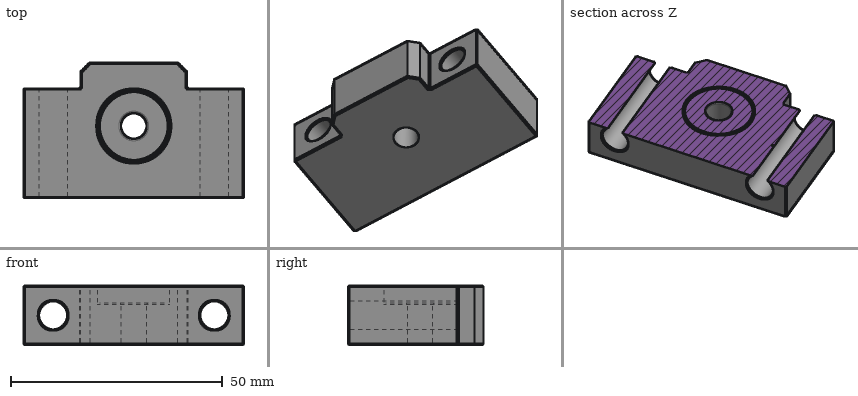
import cadquery as cq

width = 52.0
height = 14.0
total_depth = 32.0
tab_length = 6.1
tab_width = 25.0
tab_corner = 2.15
inner_corner = 0.3
edge_chamfer = 0.3
body_depth = total_depth - tab_length

bore_center_y = 17.0
bore_diameter = 17.0
bore_rim_chamfer = 0.35
seat_diameter = 16.0
seat_depth = 4.1
seat_height = 0.3
bore_depth = seat_depth + seat_height
pin_diameter = 6.0
pin_rim_radius = 0.5

mount_spacing = 38.0
mount_diameter = 6.65
mount_rim_chamfer = 0.3


def drill(start, direction, diameter, depth, rim_chamfer):
    """Cutter for a hole whose mouth at start is widened by a 45 degree chamfer."""
    radius = diameter / 2
    start = cq.Vector(*start)
    direction = cq.Vector(*direction)
    hole = cq.Solid.makeCylinder(radius, depth, start, direction)
    rim = cq.Solid.makeCone(radius + rim_chamfer, radius, rim_chamfer, start, direction)
    return hole.fuse(rim)


def make_block():
    half_width = width / 2
    half_tab = tab_width / 2
    right_side = [
        (half_width, 0),
        (half_width, body_depth),
        (half_tab + inner_corner, body_depth),
        (half_tab, body_depth + inner_corner),
        (half_tab, total_depth - tab_corner),
        (half_tab - tab_corner, total_depth),
    ]
    left_side = [(-x, y) for x, y in reversed(right_side)]
    block = cq.Workplane("XY").polyline(right_side + left_side).close().extrude(height)
    block = block.edges("|Z and (<X or >X)").chamfer(edge_chamfer)
    return block.faces("<Z or >Z").edges().chamfer(edge_chamfer)


def cut_bore(block):
    down = (0, 0, -1)
    mouth = (0, bore_center_y, height)
    bore = drill(mouth, down, bore_diameter, bore_depth, bore_rim_chamfer)
    bore_floor = cq.Vector(0, bore_center_y, height - bore_depth)
    seat = cq.Solid.makeCylinder(seat_diameter / 2, seat_height, bore_floor)
    pin_hole = cq.Solid.makeCylinder(pin_diameter / 2, height, cq.Vector(0, bore_center_y, 0))
    block = block.cut(cq.Workplane(obj=bore.cut(seat)))
    block = block.cut(cq.Workplane(obj=pin_hole))
    seat_z = height - seat_depth
    pin_rim = cq.selectors.NearestToPointSelector((0, bore_center_y, seat_z))
    return block.edges(pin_rim).fillet(pin_rim_radius)


result = cut_bore(make_block())

for x in (-mount_spacing / 2, mount_spacing / 2):
    for y, direction in ((0, 1), (body_depth, -1)):
        mouth = (x, y, height / 2)
        cutter = drill(mouth, (0, direction, 0), mount_diameter, body_depth, mount_rim_chamfer)
        result = result.cut(cq.Workplane(obj=cutter))